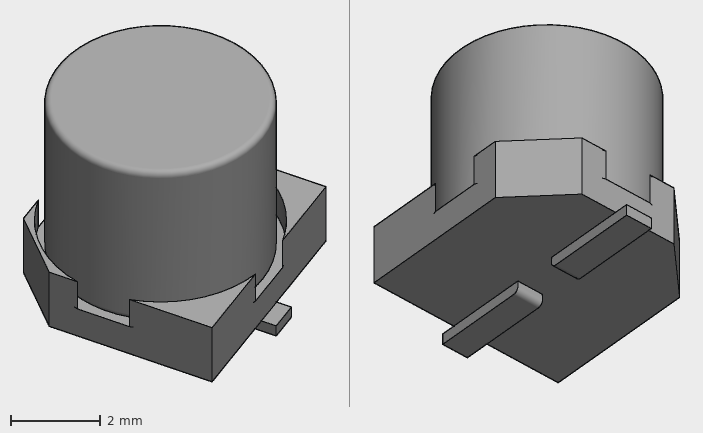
import cadquery as cq

overall_length = 6.25
overall_height = 5.5
base_side = 5.5
base_height = 1.6
base_corner_cut = 1.375
recess_depth = 0.8
recess_opening = 1.31
can_diameter = 5.2
can_edge_radius = 0.15
lead_thickness = 0.3
lead_width = 0.74
lead_gap = 1.14
lead_end_radius = 0.15

base_top = lead_thickness + base_height
recess_floor = base_top - recess_depth
recess_radius = ((base_side / 2) ** 2 + (recess_opening / 2) ** 2) ** 0.5
can_height = overall_height - recess_floor
lead_length = (overall_length - lead_gap) / 2


def make_base():
    """Square base with two cut corners and a round recess wider than the base."""
    block = (
        cq.Workplane("XY", origin=(0, 0, lead_thickness))
        .rect(base_side, base_side)
        .extrude(base_height)
        .edges("|Z and <X")
        .chamfer(base_corner_cut)
    )
    recess = (
        cq.Workplane("XY", origin=(0, 0, recess_floor))
        .circle(recess_radius)
        .extrude(recess_depth)
    )
    return block.cut(recess)


def make_can():
    """Cylindrical can with rounded rims, standing on the recess floor."""
    return (
        cq.Workplane("XY", origin=(0, 0, recess_floor))
        .circle(can_diameter / 2)
        .extrude(can_height)
        .edges("%CIRCLE")
        .fillet(can_edge_radius)
    )


def make_lead(side):
    """Flat lead under the base, on the -X (side = -1) or +X (side = 1) half."""
    center_x = side * (lead_gap + lead_length) / 2
    inner_face = "<X" if side > 0 else ">X"
    return (
        cq.Workplane("XY", origin=(center_x, 0, 0))
        .rect(lead_length, lead_width)
        .extrude(lead_thickness)
        .faces(inner_face)
        .edges("<Z")
        .fillet(lead_end_radius)
    )


base = make_base()
can = make_can()
leads = [make_lead(side) for side in (-1, 1)]

result = cq.Compound.makeCompound([base.val(), can.val(), *[lead.val() for lead in leads]])